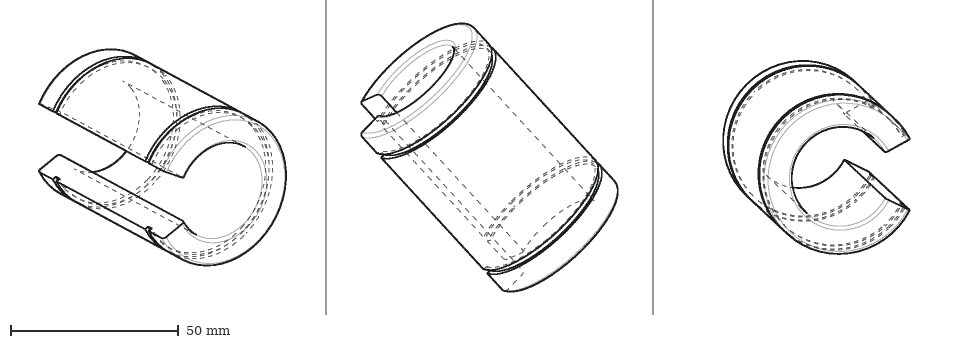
import cadquery as cq
import math

length = 68.0
outer_diameter = 47.0
bore_diameter = 30.0
edge_radius = 1.0

groove_diameter = 44.5
groove_width = 1.85
groove_span = 51.75

opening_angle = 55.0

outer_radius = outer_diameter / 2


def make_sleeve():
    """Full tube with rounded end edges."""
    tube = (
        cq.Workplane("YZ")
        .circle(outer_radius)
        .circle(bore_diameter / 2)
        .extrude(length / 2, both=True)
    )
    return tube.faces("<X or >X").edges().fillet(edge_radius)


def make_groove(center_x):
    """Ring of material removed for one retaining-ring groove."""
    return (
        cq.Workplane("YZ", origin=(center_x - groove_width / 2, 0, 0))
        .circle(outer_diameter)
        .circle(groove_diameter / 2)
        .extrude(groove_width)
    )


def make_opening():
    """Triangular wedge from the axis through the wall on the -Y side."""
    reach = outer_diameter
    half_width = reach * math.tan(math.radians(opening_angle / 2))
    return (
        cq.Workplane("YZ")
        .polyline([(0, 0), (-reach, half_width), (-reach, -half_width)])
        .close()
        .extrude(length, both=True)
    )


result = make_sleeve()
for side in (-1, 1):
    groove_center = side * (groove_span - groove_width) / 2
    result = result.cut(make_groove(groove_center))
result = result.cut(make_opening())